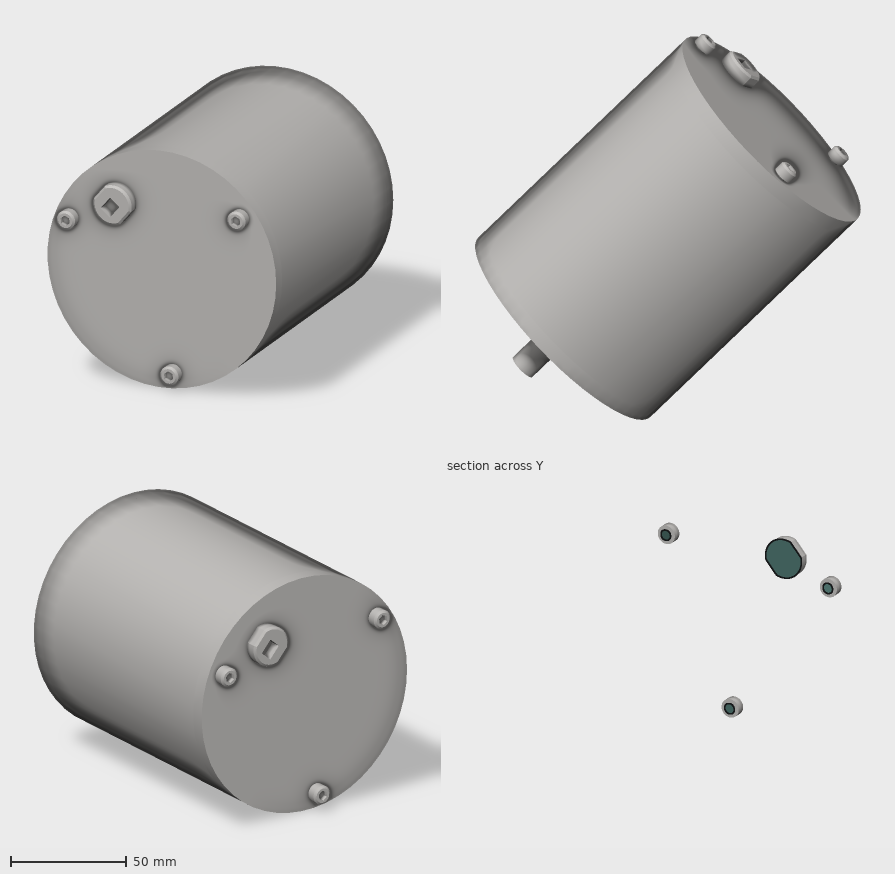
import cadquery as cq
import math


housing_diameter = 108.0
barrel_length = 116.0
cap_thickness = 6.6
shaft_diameter = 12.0
shaft_length = 26.0

screw_count = 3
screw_circle_radius = 46.9
first_screw_angle = 37.0
screw_head_diameter = 8.5
head_projection = 6.0
shank_diameter = 5.0
shank_exposed = 1.0
socket_width = 4.0
socket_depth = 2.4
head_chamfer = 1.0

plug_circle_radius = 35.1
plug_angle = first_screw_angle + 90
plug_diameter = 18.0
plug_width_over_flats = 16.1
plug_turn = 50.0
plug_chamfer = 1.0
pocket_length = 7.1
pocket_width = 5.8
pocket_offset = -1.3
pocket_depth = 4.8

barrel_start = cap_thickness
front_cap_start = barrel_start + barrel_length
shaft_start = front_cap_start + cap_thickness


def make_cylinder(diameter, start, length):
    """Cylinder on the motor axis, running from Y = start toward +Y."""
    plane = cq.Plane(origin=(0, start, 0), xDir=(1, 0, 0), normal=(0, 1, 0))
    return cq.Workplane(plane).circle(diameter / 2).extrude(length)


def rear_plane(radius, angle, turn=0):
    """Plane on the rear face, facing -Y, at a polar place in XZ and turned about its normal."""
    position = math.radians(angle)
    direction = math.radians(turn)
    return cq.Plane(
        origin=(radius * math.cos(position), 0, radius * math.sin(position)),
        xDir=(math.cos(direction), 0, math.sin(direction)),
        normal=(0, -1, 0),
    )


def make_screw(angle):
    """Socket-head screw with a short length of shank between the cap and its head."""
    plane = rear_plane(screw_circle_radius, angle, angle)
    shank = cq.Workplane(plane).circle(shank_diameter / 2).extrude(shank_exposed)
    head = (
        cq.Workplane(plane)
        .workplane(offset=shank_exposed)
        .circle(screw_head_diameter / 2)
        .extrude(head_projection - shank_exposed)
        .faces("<Y")
        .chamfer(head_chamfer)
    )
    socket_across_corners = socket_width / math.cos(math.pi / 6)
    socket = (
        cq.Workplane(plane)
        .workplane(offset=head_projection - socket_depth)
        .polygon(6, socket_across_corners)
        .extrude(socket_depth)
    )
    return head.union(shank).cut(socket)


def make_plug():
    """Round plug cut to two parallel flats, chamfered, with a rectangular pocket in its end."""
    plane = rear_plane(plug_circle_radius, plug_angle, plug_turn)
    round_body = (
        cq.Workplane(plane)
        .circle(plug_diameter / 2)
        .extrude(head_projection)
        .faces("<Y")
        .chamfer(plug_chamfer)
    )
    flat_sided_block = (
        cq.Workplane(plane)
        .rect(2 * plug_diameter, plug_width_over_flats)
        .extrude(head_projection)
        .faces("<Y")
        .chamfer(plug_chamfer)
    )
    body = round_body.intersect(flat_sided_block)
    pocket = (
        cq.Workplane(plane)
        .workplane(offset=head_projection - pocket_depth)
        .center(pocket_offset, 0)
        .rect(pocket_length, pocket_width)
        .extrude(pocket_depth)
    )
    return body.cut(pocket)


rear_cap = make_cylinder(housing_diameter, 0, cap_thickness)
barrel = make_cylinder(housing_diameter, barrel_start, barrel_length)
front_cap = make_cylinder(housing_diameter, front_cap_start, cap_thickness)
shaft = make_cylinder(shaft_diameter, shaft_start, shaft_length)
plug = make_plug()
screws = [make_screw(first_screw_angle + index * 360 / screw_count) for index in range(screw_count)]

result = cq.Compound.makeCompound([
    rear_cap.val(),
    barrel.val(),
    front_cap.val(),
    shaft.val(),
    plug.val(),
    *[screw.val() for screw in screws],
])